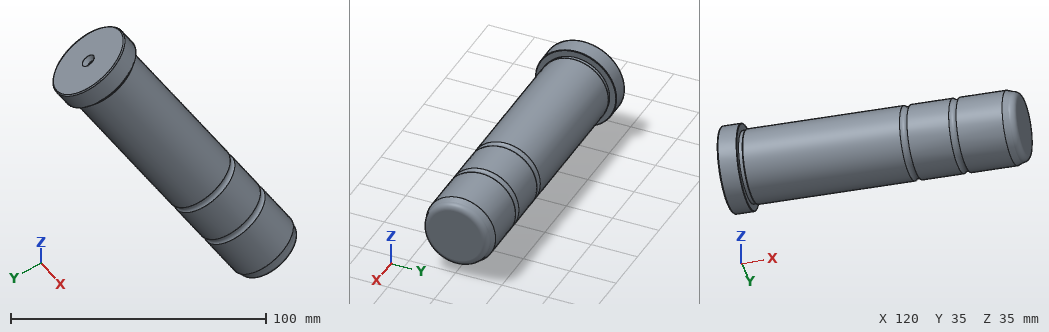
import cadquery as cq
import math

length = 120.0
head_radius = 17.5
head_length = 8.0
head_front_chamfer = 0.5
head_back_chamfer = 0.2
shaft_radius = 15.0

neck_depth = 0.4
neck_end = 9.5

groove_centers = (74.9, 94.8)
groove_width = 3.0
groove_depth = 0.7

taper_start = 115.0
nose_round = 2.5
taper_angle = math.radians(20)

hole_mouth_radius = 2.9
hole_radius = 1.7
hole_straight_length = 3.6
countersink_half_angle = math.radians(30)
drill_tip_half_angle = math.radians(59)


def revolve_profile(profile):
    """Turn a closed (X, radius) profile around the X axis."""
    return profile.close().revolve(360, (0, 0, 0), (1, 0, 0))


def make_body():
    neck_radius = shaft_radius - neck_depth
    round_start = length - nose_round
    taper_end_radius = shaft_radius - (round_start - taper_start) * math.tan(taper_angle)
    round_center_radius = taper_end_radius - nose_round
    round_offset = nose_round * math.sqrt(0.5)

    profile = (
        cq.Workplane("XY")
        .lineTo(0, head_radius - head_front_chamfer)
        .lineTo(head_front_chamfer, head_radius)
        .lineTo(head_length - head_back_chamfer, head_radius)
        .lineTo(head_length, head_radius - head_back_chamfer)
        .lineTo(head_length, neck_radius)
        .lineTo(neck_end, neck_radius)
        .lineTo(neck_end + neck_depth, shaft_radius)
        .lineTo(taper_start, shaft_radius)
        .lineTo(round_start, taper_end_radius)
        .threePointArc(
            (round_start + round_offset, round_center_radius + round_offset),
            (length, round_center_radius),
        )
        .lineTo(length, 0)
    )
    return revolve_profile(profile)


def make_groove(center):
    profile = (
        cq.Workplane("XY")
        .moveTo(center - groove_width / 2, shaft_radius)
        .threePointArc(
            (center, shaft_radius - groove_depth),
            (center + groove_width / 2, shaft_radius),
        )
    )
    return revolve_profile(profile)


def make_center_hole():
    countersink_depth = (hole_mouth_radius - hole_radius) / math.tan(countersink_half_angle)
    straight_end = countersink_depth + hole_straight_length
    tip_length = hole_radius / math.tan(drill_tip_half_angle)
    profile = (
        cq.Workplane("XY")
        .lineTo(0, hole_mouth_radius)
        .lineTo(countersink_depth, hole_radius)
        .lineTo(straight_end, hole_radius)
        .lineTo(straight_end + tip_length, 0)
    )
    return revolve_profile(profile)


result = make_body().cut(make_center_hole())
for groove_center in groove_centers:
    result = result.cut(make_groove(groove_center))